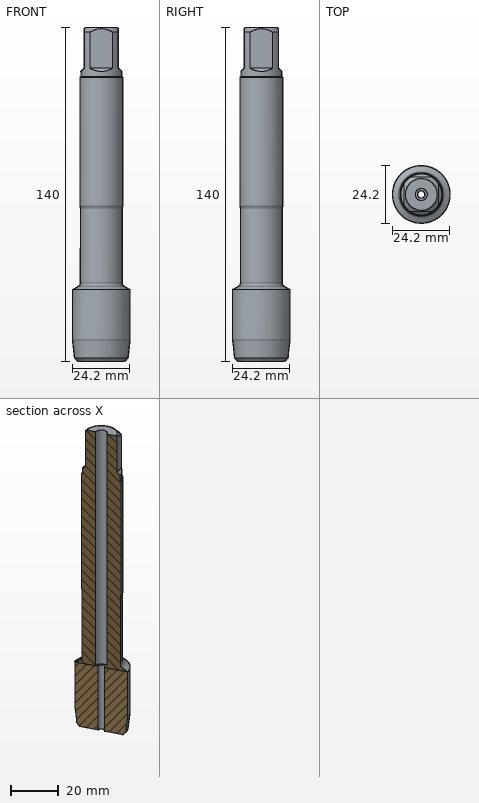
import cadquery as cq
import math

total_length = 140.0

head_dia = 24.2
head_tip_dia = 19.7
head_taper_end_dia = 22.5
tip_chamfer_height = 1.5
taper_top = 9.0
head_length = 30.1
head_bore_dia = 3.0

neck_dia = 17.6
shank_dia = 18.0
shoulder_slope = 30
shoulder_height = (head_dia - neck_dia) / 2 * math.tan(math.radians(shoulder_slope))
shoulder_top = head_length + shoulder_height
shoulder_fillet = 1.4
drive_dia = 17.2
shank_bottom = 64.4
shank_bottom_chamfer_height = 0.7
shank_top = 119.4
shank_top_chamfer = (shank_dia - drive_dia) / 2
shank_bore_dia = 5.0

drive_top_dia = 13.3
drive_top_chamfer = (drive_dia - drive_top_dia) / 2
across_flats = 14.4
flat_bottom = 122.9
flat_count = 4


def turned(profile):
    """Revolve a (radius, height) profile about the Z axis."""
    return cq.Workplane("XZ").polyline(profile).close().revolve(360, (0, 0, 0), (0, 1, 0))


def make_head():
    bore_radius = head_bore_dia / 2
    return turned([
        (bore_radius, 0),
        (head_tip_dia / 2, 0),
        (head_taper_end_dia / 2, tip_chamfer_height),
        (head_dia / 2, taper_top),
        (head_dia / 2, head_length),
        (bore_radius, head_length),
    ])


def make_shank_blank():
    bore_radius = shank_bore_dia / 2
    blank = turned([
        (bore_radius, head_length),
        (head_dia / 2, head_length),
        (neck_dia / 2, shoulder_top),
        (neck_dia / 2, shank_bottom),
        (shank_dia / 2, shank_bottom + shank_bottom_chamfer_height),
        (shank_dia / 2, shank_top - shank_top_chamfer),
        (drive_dia / 2, shank_top),
        (drive_dia / 2, total_length - drive_top_chamfer),
        (drive_top_dia / 2, total_length),
        (bore_radius, total_length),
    ])
    neck_radius = neck_dia / 2
    neck_base = cq.selectors.BoxSelector(
        (-neck_radius, -neck_radius, shoulder_top - shoulder_fillet / 2),
        (neck_radius, neck_radius, shoulder_top + shoulder_fillet / 2),
        boundingbox=False,
    )
    return blank.edges("%CIRCLE").edges(neck_base).fillet(shoulder_fillet)


def make_flat_cutter():
    """Block that mills the +X flat, with a 45 degree run-out at its lower end."""
    inner = across_flats / 2
    outer = shank_dia / 2
    run_out = outer - inner
    return (
        cq.Workplane("XZ")
        .polyline([
            (inner, total_length),
            (inner, flat_bottom),
            (outer, flat_bottom - run_out),
            (outer, total_length),
        ])
        .close()
        .extrude(shank_dia / 2, both=True)
    )


def make_shank():
    shank = make_shank_blank()
    cutter = make_flat_cutter()
    for index in range(flat_count):
        angle = index * 360 / flat_count
        shank = shank.cut(cutter.rotate((0, 0, 0), (0, 0, 1), angle))
    return shank


head = make_head()
shank = make_shank()
result = cq.Compound.makeCompound([head.val(), shank.val()])